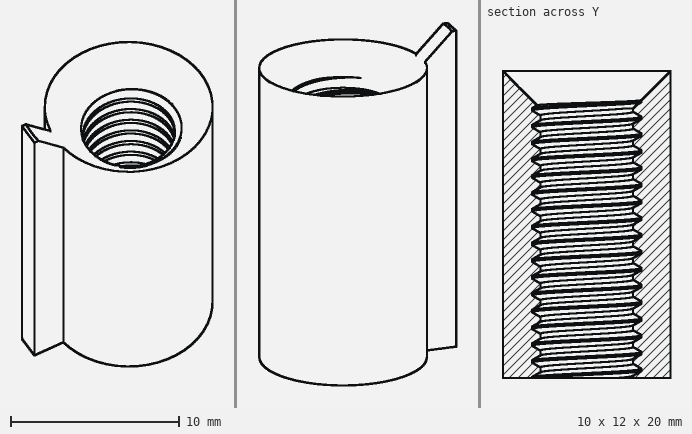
import cadquery as cq
import math

total_height = 20.0
sleeve_height = 18.3
outer_radius = 5.0
rib_width = 1.48
rib_reach = 6.95

bore_radius = 5.5 / 2
thread_depth = 0.5
thread_pitch = 1.0
root_width = 0.12
flank_angle = 30.0
bore_overlap = 0.1
thread_start = -thread_pitch / 2
thread_turns = 18


def make_sleeve():
    return cq.Workplane("XY").circle(outer_radius).extrude(sleeve_height)


def make_rib():
    """Full-height key rib, running from the bore wall out toward -Y."""
    rib_length = rib_reach - bore_radius
    return (
        cq.Workplane("XY")
        .center(0, -(bore_radius + rib_reach) / 2)
        .rect(rib_width, rib_length)
        .extrude(total_height)
    )


def make_bore():
    """Plain bore with a 45 degree countersink that also bevels the rib."""
    cone_start = sleeve_height - (outer_radius - bore_radius)
    top_radius = outer_radius + total_height - sleeve_height
    return (
        cq.Workplane("XZ")
        .polyline([
            (0, 0),
            (bore_radius, 0),
            (bore_radius, cone_start),
            (top_radius, total_height),
            (0, total_height),
        ])
        .close()
        .revolve(360, (0, 0), (0, 1))
    )


def make_thread_turn():
    """One turn of the left-hand trapezoidal thread groove."""
    root_radius = bore_radius + thread_depth
    inner_radius = bore_radius - bore_overlap
    half_root = root_width / 2
    half_mouth = half_root + (root_radius - inner_radius) * math.tan(math.radians(flank_angle))
    helix = cq.Wire.makeHelix(
        thread_pitch,
        thread_pitch,
        bore_radius,
        center=cq.Vector(0, 0, thread_start),
        lefthand=True,
    )
    return (
        cq.Workplane("XZ")
        .polyline([
            (inner_radius, thread_start - half_mouth),
            (root_radius, thread_start - half_root),
            (root_radius, thread_start + half_root),
            (inner_radius, thread_start + half_mouth),
        ])
        .close()
        .sweep(cq.Workplane(obj=helix), isFrenet=True)
    )


def cut_thread(body):
    """Cut the thread turn by turn, each turn one pitch above the last."""
    turn = make_thread_turn()
    for index in range(thread_turns):
        body = body.cut(turn.translate((0, 0, index * thread_pitch)))
    return body


sleeve_with_rib = make_sleeve().union(make_rib())
result = cut_thread(sleeve_with_rib.cut(make_bore()))